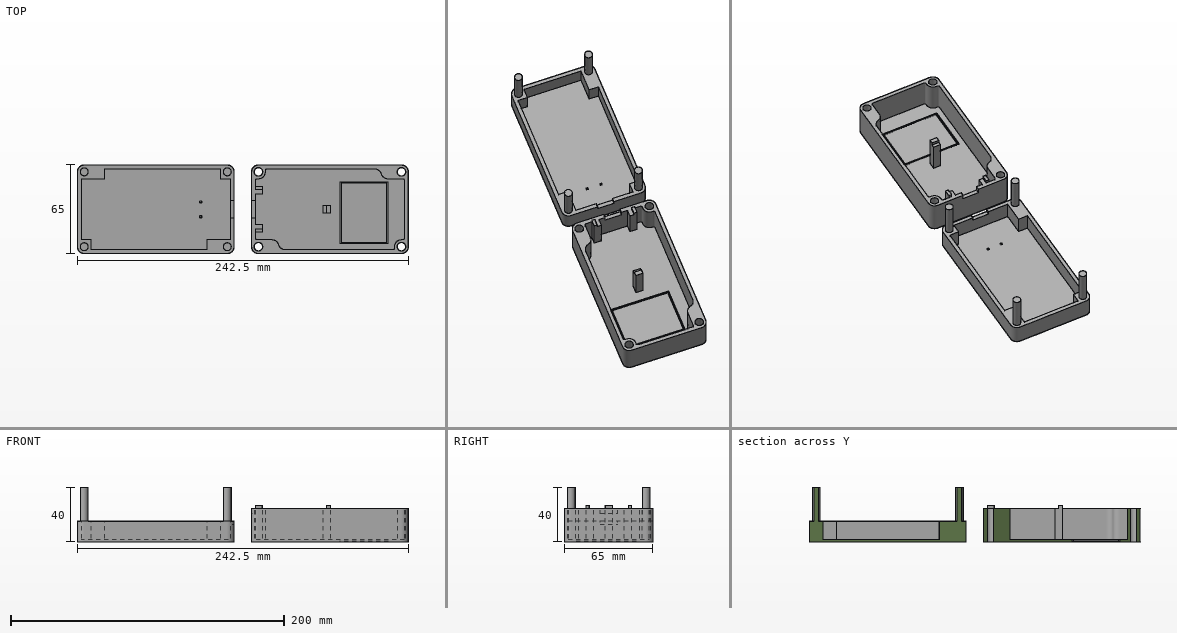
import cadquery as cq
import math

CASE_LENGTH = 115.0
CASE_WIDTH = 65.0
GAP = 12.5
WALL = 3.0
FLOOR = 2.0
CORNER_RADIUS = 5.0
SCREW_INSET = CORNER_RADIUS
SHORT_BLOCK = 10.2
LONG_BLOCK = 20.0
NOTCH_WIDTH = 12.5
MIDDLE_Y = CASE_WIDTH / 2

BASE_HEIGHT = 15.3
BASE_NOTCH_DEPTH = 2.5
PIN_DIAMETER = 5.8
PIN_TOP = 40.0
FLOOR_HOLE_SIZE = 1.2
FLOOR_HOLE_X = 90.5
FLOOR_HOLE_SPACING = 11.0

COVER_X = CASE_LENGTH + GAP
COVER_HEIGHT = 24.7
COVER_NOTCH_DEPTH = 3.6
SCREW_HOLE_DIAMETER = 6.0
CAVITY_CORNER_RADIUS = 1.2
PILLAR_RADIUS = SHORT_BLOCK - SCREW_INSET
BLEND_RADIUS = PILLAR_RADIUS
BLOCK_REACH = SHORT_BLOCK - WALL
BLEND_ANGLE = math.acos(1 - BLOCK_REACH / (2 * BLEND_RADIUS))
BLEND_HALF_LENGTH = BLEND_RADIUS * math.sin(BLEND_ANGLE)

LOCATOR_TOP = 27.0
SUPPORT_SIZE = 5.5
SIDE_SUPPORT_LENGTH = 5.0
SIDE_SUPPORT_REACH = 16.7
SIDE_LOCATOR_WIDTH = 2.5
POST_X = 52.5
POST_SEAT_LENGTH = 2.5

GROOVE_WIDTH = 1.0
GROOVE_DEPTH = FLOOR / 2
GROOVE_X = 65.0
GROOVE_Y = 7.3
GROOVE_LENGTH = 35.0
GROOVE_SPAN = 45.3


def block(x0, x1, y0, y1, z0, z1):
    """Rectangular block between the given limits."""
    return cq.Workplane("XY", origin=(x0, y0, z0)).box(x1 - x0, y1 - y0, z1 - z0, centered=False)


def centred_block(x0, x1, width, z0, z1):
    """Rectangular block that straddles the case's lengthwise centreline."""
    return block(x0, x1, MIDDLE_Y - width / 2, MIDDLE_Y + width / 2, z0, z1)


def half_turn(shape):
    """The shape turned half a turn about the vertical axis through the case's centre."""
    return shape.rotate((CASE_LENGTH / 2, MIDDLE_Y, 0), (CASE_LENGTH / 2, MIDDLE_Y, 1), 180)


def case_blank(height):
    """Solid case outline with rounded vertical corners."""
    return block(0, CASE_LENGTH, 0, CASE_WIDTH, 0, height).edges("|Z").fillet(CORNER_RADIUS)


def corner_cylinders(diameter, z0, z1):
    """Four cylinders centred on the rounded corners."""
    return (
        cq.Workplane("XY", origin=(CASE_LENGTH / 2, MIDDLE_Y, z0))
        .rect(CASE_LENGTH - 2 * SCREW_INSET, CASE_WIDTH - 2 * SCREW_INSET, forConstruction=True)
        .vertices()
        .circle(diameter / 2)
        .extrude(z1 - z0)
    )


def wall_cavity(height):
    """Rectangular cavity inside the walls, before corner blocks are left standing in it."""
    return block(WALL, CASE_LENGTH - WALL, WALL, CASE_WIDTH - WALL, FLOOR, height)



def base_cavity():
    """Cavity around a short and a long block at each end, alike after half a turn."""
    cavity = wall_cavity(BASE_HEIGHT)
    short_block = block(0, SHORT_BLOCK, 0, SHORT_BLOCK, FLOOR, BASE_HEIGHT)
    long_block = block(0, LONG_BLOCK, CASE_WIDTH - SHORT_BLOCK, CASE_WIDTH, FLOOR, BASE_HEIGHT)
    for corner_block in (short_block, long_block):
        cavity = cavity.cut(corner_block).cut(half_turn(corner_block))
    return cavity


def floor_holes():
    """Two small square holes through the base's floor."""
    return (
        cq.Workplane("XY", origin=(FLOOR_HOLE_X, MIDDLE_Y, 0))
        .rarray(2.5, FLOOR_HOLE_SPACING, 1, 2)
        .rect(FLOOR_HOLE_SIZE, FLOOR_HOLE_SIZE)
        .extrude(FLOOR)
    )


def make_base():
    notch = centred_block(
        CASE_LENGTH - WALL, CASE_LENGTH, NOTCH_WIDTH, BASE_HEIGHT - BASE_NOTCH_DEPTH, BASE_HEIGHT
    )
    tray = case_blank(BASE_HEIGHT).cut(base_cavity()).cut(notch).cut(floor_holes())
    return tray.union(corner_cylinders(PIN_DIAMETER, BASE_HEIGHT, PIN_TOP))



def short_pillar():
    """Corner pillar rounded around its screw hole."""
    pillar = block(0, SHORT_BLOCK, 0, SHORT_BLOCK, FLOOR, COVER_HEIGHT)
    return pillar.edges("|Z and >X and >Y").fillet(PILLAR_RADIUS)


def long_pillar():
    """Longer corner pillar whose end runs into the side wall in an S of two equal arcs."""
    return (
        cq.Workplane("XY", origin=(0, 0, FLOOR))
        .lineTo(0, SHORT_BLOCK)
        .lineTo(LONG_BLOCK - BLEND_HALF_LENGTH, SHORT_BLOCK)
        .radiusArc((LONG_BLOCK, SHORT_BLOCK - BLOCK_REACH / 2), BLEND_RADIUS)
        .radiusArc((LONG_BLOCK + BLEND_HALF_LENGTH, WALL), -BLEND_RADIUS)
        .lineTo(LONG_BLOCK + BLEND_HALF_LENGTH, 0)
        .close()
        .extrude(COVER_HEIGHT - FLOOR)
    )


def cover_cavity():
    """Cavity around a short and a long pillar at each end, alike after half a turn."""
    cavity = wall_cavity(COVER_HEIGHT)
    near_short = short_pillar().mirror("XZ").translate((0, CASE_WIDTH, 0))
    for pillar in (near_short, long_pillar()):
        cavity = cavity.cut(pillar).cut(half_turn(pillar))
    cavity = cavity.edges("|Z and (<X or >X)").fillet(CAVITY_CORNER_RADIUS)
    cavity = cavity.edges("|Z and >Y").edges("<X").fillet(CAVITY_CORNER_RADIUS)
    return cavity.edges("|Z and <Y").edges(">X").fillet(CAVITY_CORNER_RADIUS)


def side_support():
    """Support on the notched wall, on the +Y side, with its locator along the outer side."""
    outer_y = MIDDLE_Y + SIDE_SUPPORT_REACH
    end_x = WALL + SIDE_SUPPORT_LENGTH
    seat = block(WALL, end_x, outer_y - SUPPORT_SIZE, outer_y, FLOOR, COVER_HEIGHT)
    locator = block(WALL, end_x, outer_y - SIDE_LOCATOR_WIDTH, outer_y, COVER_HEIGHT, LOCATOR_TOP)
    return seat.union(locator)


def central_post():
    """Free-standing support with its locator on the +X half."""
    end_x = POST_X + SUPPORT_SIZE
    seat = centred_block(POST_X, end_x, SUPPORT_SIZE, FLOOR, COVER_HEIGHT)
    locator = centred_block(POST_X + POST_SEAT_LENGTH, end_x, SUPPORT_SIZE, COVER_HEIGHT, LOCATOR_TOP)
    return seat.union(locator)


def floor_groove():
    """Rectangular ring cut into the inside of the cover's floor."""
    centre = (GROOVE_X + GROOVE_LENGTH / 2, GROOVE_Y + GROOVE_SPAN / 2, FLOOR - GROOVE_DEPTH)
    return (
        cq.Workplane("XY", origin=centre)
        .rect(GROOVE_LENGTH, GROOVE_SPAN)
        .rect(GROOVE_LENGTH - 2 * GROOVE_WIDTH, GROOVE_SPAN - 2 * GROOVE_WIDTH)
        .extrude(GROOVE_DEPTH)
    )


def make_cover():
    notch = centred_block(0, WALL, NOTCH_WIDTH, COVER_HEIGHT - COVER_NOTCH_DEPTH, COVER_HEIGHT)
    screw_holes = corner_cylinders(SCREW_HOLE_DIAMETER, 0, COVER_HEIGHT)
    cover = case_blank(COVER_HEIGHT).cut(cover_cavity())
    cover = cover.cut(screw_holes).cut(notch).cut(floor_groove())
    opposite_support = side_support().mirror("XZ").translate((0, CASE_WIDTH, 0))
    for support in (side_support(), opposite_support, central_post()):
        cover = cover.union(support)
    return cover.translate((COVER_X, 0, 0))


base = make_base()
cover = make_cover()
result = cq.Compound.makeCompound([base.val(), cover.val()])